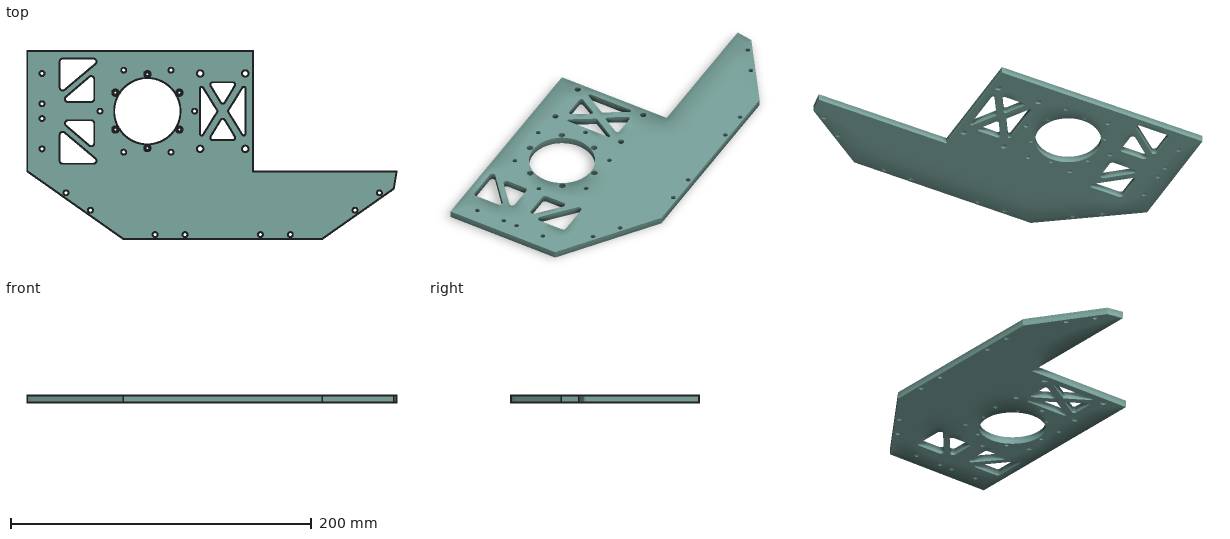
import cadquery as cq
import math

length = 245.6
height = 125.0
thickness = 5.0
body_width = 150.0
body_height = 80.0
mirror_x = 130.0
bottom_half_width = 66.0
tip_x = 243.7
tip_y = 33.5
shoulder_y = height - body_height
body_mid_y = height - body_height / 2

bore_x = 79.8
bore_diameter = 44.0
holes_per_circle = 6
screw_circle_radius = 24.5
screw_diameter = 2.5
counterbore_diameter = 4.5
counterbore_depth = thickness / 2
outer_circle_radius = 31.5

small_diameter = 3.2
large_diameter = 4.2
left_holes_x = 9.8
inner_pair_offset = 5.0
hole_row_offset = 25.0
large_half_pitch = 15.0
edge_holes = [(25.0, 3.0), (45.0, 3.0), (88.0, 19.2), (104.2, 30.7)]

window_radius = 2.0
outer_window_x = 21.5
outer_window_offset = 35.0
outer_window_width = 27.8
outer_window_height = 23.3
inner_window_x = 44.5
inner_window_offset = 6.1
inner_window_width = 22.5
inner_window_height = 19.5

truss_half_width = 15.0
truss_half_height = 19.2
side_window_depth = 11.5
side_window_half_height = 18.7
side_window_radius = 1.0
end_window_depth = 15.5
end_window_half_width = 9.3
end_window_radius = 1.5


def window(corners, radius):
    """Through-cutting prism with rounded corners."""
    return cq.Workplane("XY").polyline(corners).close().extrude(thickness).edges("|Z").fillet(radius)


def drill(plate, points, diameter):
    """Drill plain through holes at absolute XY points."""
    return plate.cut(cq.Workplane("XY").pushPoints(points).circle(diameter / 2).extrude(thickness))


def circle_points(radius, start_angle):
    """Evenly spaced points around the bore."""
    angles = [math.radians(start_angle + i * 360 / holes_per_circle) for i in range(holes_per_circle)]
    return [(bore_x + radius * math.cos(a), body_mid_y + radius * math.sin(a)) for a in angles]


outline = [
    (0, shoulder_y),
    (0, height),
    (body_width, height),
    (body_width, shoulder_y),
    (length, shoulder_y),
    (tip_x, tip_y),
    (mirror_x + bottom_half_width, 0),
    (mirror_x - bottom_half_width, 0),
]
result = cq.Workplane("XY").polyline(outline).close().extrude(thickness)

result = drill(result, [(bore_x, body_mid_y)], bore_diameter)
screw_points = circle_points(screw_circle_radius, 30)
result = drill(result, screw_points, screw_diameter)
counterbores = (
    cq.Workplane("XY", origin=(0, 0, thickness - counterbore_depth))
    .pushPoints(screw_points)
    .circle(counterbore_diameter / 2)
    .extrude(counterbore_depth)
)
result = result.cut(counterbores)
result = drill(result, circle_points(outer_circle_radius, 0), small_diameter)

column_offsets = (-hole_row_offset, -inner_pair_offset, inner_pair_offset, hole_row_offset)
result = drill(result, [(left_holes_x, body_mid_y + dy) for dy in column_offsets], small_diameter)
large_points = [
    (mirror_x + sx * large_half_pitch, body_mid_y + sy * hole_row_offset)
    for sx in (-1, 1)
    for sy in (-1, 1)
]
result = drill(result, large_points, large_diameter)
result = drill(result, [(mirror_x + side * dx, y) for dx, y in edge_holes for side in (-1, 1)], small_diameter)

for side in (-1, 1):
    outer_y = body_mid_y + side * outer_window_offset
    outer_window = [
        (outer_window_x, outer_y),
        (outer_window_x + outer_window_width, outer_y),
        (outer_window_x, outer_y - side * outer_window_height),
    ]
    result = result.cut(window(outer_window, window_radius))

    inner_y = body_mid_y + side * inner_window_offset
    inner_window = [
        (inner_window_x, inner_y),
        (inner_window_x - inner_window_width, inner_y),
        (inner_window_x, inner_y + side * inner_window_height),
    ]
    result = result.cut(window(inner_window, window_radius))

    side_x = mirror_x + side * truss_half_width
    side_window = [
        (side_x, body_mid_y - side_window_half_height),
        (side_x, body_mid_y + side_window_half_height),
        (side_x - side * side_window_depth, body_mid_y),
    ]
    result = result.cut(window(side_window, side_window_radius))

    end_y = body_mid_y + side * truss_half_height
    end_window = [
        (mirror_x - end_window_half_width, end_y),
        (mirror_x + end_window_half_width, end_y),
        (mirror_x, end_y - side * end_window_depth),
    ]
    result = result.cut(window(end_window, end_window_radius))